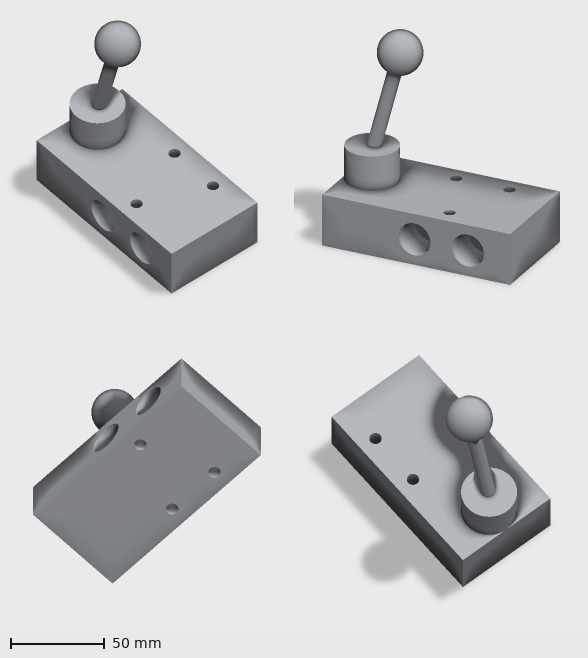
import cadquery as cq
import math

body_length = 112.0
body_width = 60.0
body_height = body_width / 2

boss_diameter = 30.0
boss_height = 20.0
boss_x = boss_diameter / 2
mid_y = body_width / 2
boss_top = body_height + boss_height

total_height = 120.4
ball_diameter = 25.0
lever_diameter = 8.0
lever_tilt = 15.0
ball_x = 31.7
ball_z = total_height - ball_diameter / 2
lever_foot_depth = 4.8

port_diameter = 18.9
port_depth = 20.0
first_port_x = 55.0
port_spacing = 31.9
port_xs = (first_port_x, first_port_x + port_spacing)

mount_diameter = 6.6
mount_edge = 10.0
mount_points = [(x, body_width - mount_edge) for x in port_xs]
mount_points.append((sum(port_xs) / 2, mount_edge))


def make_body():
    body = cq.Workplane("XY").box(body_length, body_width, body_height, centered=False)
    ports = (
        cq.Workplane("XZ")
        .pushPoints([(x, body_height / 2) for x in port_xs])
        .circle(port_diameter / 2)
        .extrude(-port_depth)
    )
    mounts = (
        cq.Workplane("XY")
        .pushPoints(mount_points)
        .circle(mount_diameter / 2)
        .extrude(body_height)
    )
    return body.cut(ports).cut(mounts)


def make_boss():
    return (
        cq.Workplane("XY", origin=(boss_x, mid_y, body_height))
        .circle(boss_diameter / 2)
        .extrude(boss_height)
    )


def make_lever():
    tilt = math.radians(lever_tilt)
    direction = cq.Vector(math.sin(tilt), 0, math.cos(tilt))
    ball_center = cq.Vector(ball_x, mid_y, ball_z)
    length = (ball_z - boss_top + lever_foot_depth) / math.cos(tilt)
    foot = ball_center - direction * length
    rod = cq.Solid.makeCylinder(lever_diameter / 2, length, foot, direction)
    ball = cq.Workplane("XY", origin=ball_center.toTuple()).sphere(ball_diameter / 2)
    return ball.union(cq.Workplane(rod))


result = make_body().union(make_boss()).union(make_lever())